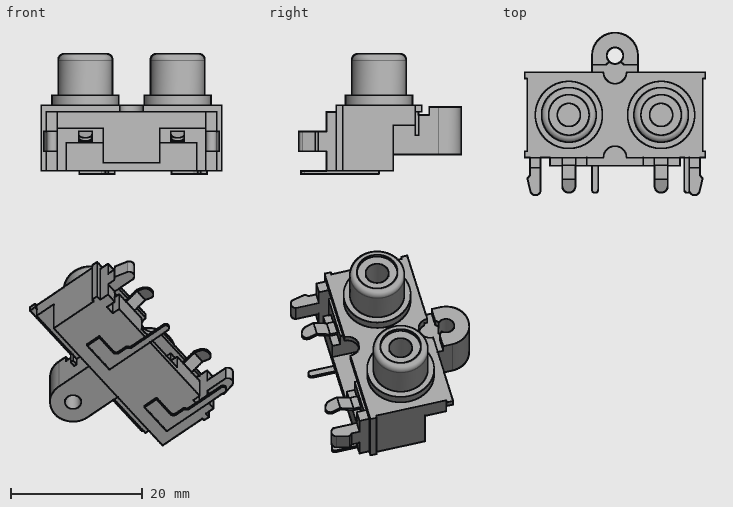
import cadquery as cq


EMBED = 0.27

JACK_PITCH = 14.0
JACK_X = (-JACK_PITCH / 2, JACK_PITCH / 2)
JACK_TOP = 17.8
FLANGE_R = 5.1
FLANGE_TOP = 11.5
SLEEVE_R = 8.3 / 2
SLEEVE_FILLET = 1.0
RIM_R = 3.07
RIM_DEPTH = 0.5
SOCKET_R = 1.75

PLATE_W = 27.4
PLATE_D = 13.0
HOUSING_H = 10.0
PLATE_T = 1.05
PLATE_UNDERSIDE = HOUSING_H - PLATE_T
BLOCK_W = 26.63
CORNER_TAB_D = 1.0
FRONT_Y = -PLATE_D / 2
BACK_Y = PLATE_D / 2
BLOCK_BACK_Y = BACK_Y - CORNER_TAB_D
LOWER_BACK_Y = 2.2
BACK_STEP_Z = 6.95
NOTCH_R = 1.75

FRONT_LIP_W = 19.73
FRONT_LIP_Y = -7.73
FRONT_LIP_TOP = 4.3
CAVITY_BACK_Y = -3.1
CAVITY_W = 8.6
CAVITY_FLOOR = 1.23
SHELF_Z = 6.5
POST_INNER_X = 11.3
POST_W = 1.65
POST_OUTER_X = POST_INNER_X + POST_W
POST_FRONT_Y = -8.0

ARM_BOTTOM = 2.95
ARM_TOP = 6.0
BARB_START_Y = -9.2
BARB_X = 13.32
BARB_PEAK_Y = -9.65
ARM_TIP_Y = -12.2
ARM_TIP_X = 12.1
ARM_SHOULDER_Y = -11.62
ARM_SHOULDER_X = 12.85

TONGUE_W = 2.03
TONGUE_T = 0.5
TONGUE_FLAT_TOP = 5.05
TONGUE_PEAK_TOP = 6.0
TONGUE_BEND_Y = -7.65
TONGUE_PEAK_Y = -9.73
TONGUE_TIP_Y = -11.8

LUG_R = 3.5
LUG_Y = 9.0
LUG_HOLE_R = 1.23
LUG_BOTTOM = 2.47
LUG_TOP = 9.73
LUG_STEP_Z = 8.5
LUG_STEP_Y = 7.62
BACK_RIB_W = 8.77
BACK_RIB_D = 0.5
BACK_RIB_BOTTOM = 5.43

TERMINAL_T = 0.5
FOOT_LEFT = -0.95
FOOT_FRONT_Y = -2.38
FOOT_EDGE_FILLET = 0.16
NECK_LEFT = 3.05
NECK_ROOT_FILLET = 0.6
NECK_SLANT_START_Y = -4.52
NECK_SLANT_END_Y = -4.9
NECK_SLANT_FILLET = 0.27
PIN_OFFSET = 3.97
PIN_W = 1.0
PIN_TIP_Y = -11.85


def box(x0, x1, y0, y1, z0, z1):
    """Axis-aligned block between two opposite corners."""
    return cq.Workplane("XY").box(x1 - x0, y1 - y0, z1 - z0, centered=False).translate((x0, y0, z0))


def wide_box(width, y0, y1, z0, z1):
    """Block centred on X = 0."""
    return box(-width / 2, width / 2, y0, y1, z0, z1)


def cylinder(x, y, radius, z0, z1):
    """Upright cylinder."""
    return cq.Workplane("XY", origin=(x, y, z0)).circle(radius).extrude(z1 - z0)


def main_block():
    """Stepped block with a wider front flange and rear corner tabs."""
    block = wide_box(BLOCK_W, FRONT_Y, LOWER_BACK_Y, 0, HOUSING_H)
    upper_back = wide_box(BLOCK_W, FRONT_Y, BLOCK_BACK_Y, BACK_STEP_Z, HOUSING_H)
    front_flange = wide_box(PLATE_W, FRONT_Y, FRONT_Y + CORNER_TAB_D, 0, HOUSING_H)
    back_edge = wide_box(PLATE_W, BLOCK_BACK_Y, BACK_Y, PLATE_UNDERSIDE, HOUSING_H)
    front_lip = wide_box(FRONT_LIP_W, FRONT_LIP_Y, FRONT_Y, 0, FRONT_LIP_TOP)
    return block.union(upper_back).union(front_flange).union(back_edge).union(front_lip)


def front_cavity():
    """Deep central pocket and the wide, shallower gap under the cover plate."""
    pocket = wide_box(CAVITY_W, FRONT_LIP_Y, CAVITY_BACK_Y, CAVITY_FLOOR, PLATE_UNDERSIDE)
    gap = wide_box(2 * POST_INNER_X, FRONT_LIP_Y, CAVITY_BACK_Y, SHELF_Z, PLATE_UNDERSIDE)
    return pocket.union(gap)


def plate_notches():
    """Half-round notches in the plate edges; the back one reaches down to the step of the lug."""
    front = cylinder(0, FRONT_Y, NOTCH_R, PLATE_UNDERSIDE, HOUSING_H)
    back = cylinder(0, BACK_Y, NOTCH_R, LUG_STEP_Z, HOUSING_H)
    return front.union(back)


def mounting_lug():
    """Round-ended lug with a screw hole, stepped down beside the cover plate."""
    lug = cylinder(0, LUG_Y, LUG_R, LUG_BOTTOM, LUG_TOP)
    lug = lug.union(wide_box(2 * LUG_R, LUG_STEP_Y, LUG_Y, LUG_BOTTOM, LUG_TOP))
    lug = lug.cut(wide_box(2 * LUG_R, LUG_Y - LUG_R, LUG_STEP_Y, LUG_STEP_Z, LUG_TOP))
    lug = lug.union(wide_box(2 * LUG_R, LOWER_BACK_Y - EMBED, LUG_STEP_Y, LUG_BOTTOM, BACK_STEP_Z))
    lug = lug.union(wide_box(2 * LUG_R, BLOCK_BACK_Y, LUG_STEP_Y, LUG_BOTTOM, LUG_STEP_Z))
    lug = lug.cut(cylinder(0, LUG_Y, LUG_HOLE_R, LUG_BOTTOM, LUG_TOP))
    rib_back_y = BLOCK_BACK_Y + BACK_RIB_D
    rib = wide_box(BACK_RIB_W, BLOCK_BACK_Y, rib_back_y, BACK_RIB_BOTTOM, PLATE_UNDERSIDE)
    return lug.union(rib)


def snap_post():
    """Post on the +X side with its barbed snap arm."""
    post = box(POST_INNER_X, POST_OUTER_X, POST_FRONT_Y, FRONT_Y, 0, PLATE_UNDERSIDE)
    arm = (
        cq.Workplane("XY", origin=(0, 0, ARM_BOTTOM))
        .moveTo(POST_INNER_X, FRONT_Y)
        .lineTo(POST_OUTER_X, FRONT_Y)
        .lineTo(POST_OUTER_X, BARB_START_Y)
        .lineTo(BARB_X, BARB_PEAK_Y)
        .lineTo(ARM_SHOULDER_X, ARM_SHOULDER_Y)
        .threePointArc((ARM_TIP_X, ARM_TIP_Y), (POST_INNER_X, ARM_SHOULDER_Y))
        .close()
        .extrude(ARM_TOP - ARM_BOTTOM)
    )
    return post.union(arm)


def tongue(x):
    """Kinked strip with a round tip, standing out of the front wall."""
    back_y = FRONT_Y + EMBED
    top_edge = [
        (back_y, TONGUE_FLAT_TOP),
        (TONGUE_BEND_Y, TONGUE_FLAT_TOP),
        (TONGUE_PEAK_Y, TONGUE_PEAK_TOP),
        (TONGUE_TIP_Y, TONGUE_FLAT_TOP),
    ]
    bottom_edge = [(y, z - TONGUE_T) for y, z in reversed(top_edge)]
    strip = (
        cq.Workplane("YZ", origin=(x, 0, 0))
        .polyline(top_edge + bottom_edge)
        .close()
        .extrude(TONGUE_W / 2, both=True)
    )
    radius = TONGUE_W / 2
    round_y = TONGUE_TIP_Y + radius
    plan = box(x - radius, x + radius, round_y, back_y, 0, HOUSING_H)
    plan = plan.union(cylinder(x, round_y, radius, 0, HOUSING_H))
    return strip.intersect(plan)


def jack(x):
    """Flange and rounded sleeve standing on the cover plate."""
    sleeve = cylinder(x, 0, SLEEVE_R, HOUSING_H, JACK_TOP)
    sleeve = sleeve.faces(">Z").edges().fillet(SLEEVE_FILLET)
    sleeve = sleeve.cut(cylinder(x, 0, RIM_R, JACK_TOP - RIM_DEPTH, JACK_TOP))
    flange = cylinder(x, 0, FLANGE_R, HOUSING_H, FLANGE_TOP)
    socket = cylinder(x, 0, SOCKET_R, HOUSING_H, JACK_TOP)
    return sleeve.union(flange).cut(socket)


def make_housing():
    """Block with its cavity, lug, notches, snap posts, jacks and tongues, fused as one body."""
    body = main_block().cut(front_cavity()).union(mounting_lug()).cut(plate_notches())
    post = snap_post()
    body = body.union(post).union(post.mirror("YZ"))
    for x in JACK_X:
        body = body.union(jack(x)).union(tongue(x))
    return body


def round_corner(plate, corner, radius):
    """Fillet the upright edge of a plate nearest to the given (x, y, z) corner."""
    return plate.edges("|Z").edges(cq.selectors.NearestToPointSelector(corner)).fillet(radius)


def make_terminal(jack_x):
    """Flat contact under the housing: foot below the jack, side neck, and round-ended pin."""
    pin_left = PIN_OFFSET - PIN_W / 2
    pin_right = PIN_OFFSET + PIN_W / 2
    pin_round_y = PIN_TIP_Y + PIN_W / 2
    neck_root = (NECK_LEFT, FOOT_FRONT_Y)
    slant_start = (NECK_LEFT, NECK_SLANT_START_Y)
    slant_end = (pin_left, NECK_SLANT_END_Y)
    terminal = (
        cq.Workplane("XY", origin=(0, 0, -TERMINAL_T))
        .moveTo(FOOT_LEFT, 0)
        .lineTo(pin_right, 0)
        .lineTo(pin_right, pin_round_y)
        .threePointArc((PIN_OFFSET, PIN_TIP_Y), (pin_left, pin_round_y))
        .lineTo(*slant_end)
        .lineTo(*slant_start)
        .lineTo(*neck_root)
        .lineTo(FOOT_LEFT, FOOT_FRONT_Y)
        .close()
        .extrude(TERMINAL_T)
    )
    mid_z = -TERMINAL_T / 2
    terminal = round_corner(terminal, (*neck_root, mid_z), NECK_ROOT_FILLET)
    terminal = round_corner(terminal, (*slant_start, mid_z), NECK_SLANT_FILLET)
    terminal = round_corner(terminal, (*slant_end, mid_z), NECK_SLANT_FILLET)
    terminal = terminal.faces(">Y").edges("<Z").fillet(FOOT_EDGE_FILLET)
    return terminal.translate((jack_x, 0, 0))


housing = make_housing()
terminals = [make_terminal(x) for x in JACK_X]

result = cq.Compound.makeCompound([housing.solids().val(), *[terminal.val() for terminal in terminals]])